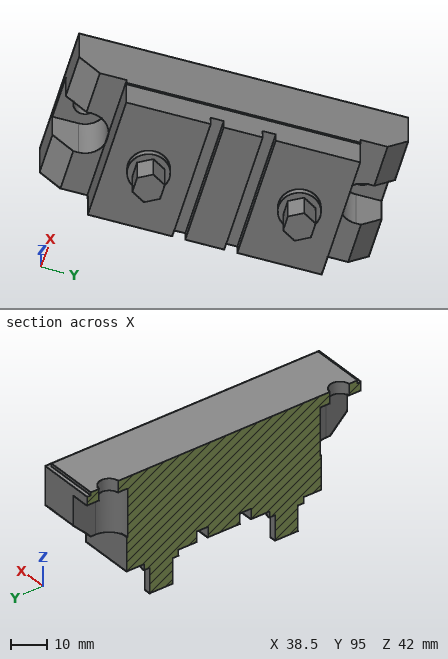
import cadquery as cq


housing_width = 38.5
housing_length = 95.0
housing_bottom = 10.0
housing_top = 30.5
lip_height = 1.5
end_chamfer = 6.0

cover_width = 36.0
cover_length = 92.5
cover_height = 1.0

base_width = 37.5
base_length = 67.5
groove_width = 3.75
groove_depth = 3.5
groove_spacing = 15.0

hole_diameter = 6.6
hole_spacing = 80.0
hole_offset_x = -0.25
pocket_width = 13.0
pocket_roof = 3.0

stud_spacing = 43.5
collar_diameter = 12.0
collar_height = 2.0
hex_across_corners = 9.24
hex_height = 8.5

overhang_bottom = housing_bottom + lip_height
cover_top = housing_top + cover_height


def block(width, length, bottom, top):
    """Box centred on X and Y between two heights."""
    return cq.Workplane("XY").workplane(offset=bottom).rect(width, length).extrude(top - bottom)


def make_housing():
    """Long housing with chamfered lower ends, a lip over the base and a cover plate."""
    upper = block(housing_width, housing_length, overhang_bottom, housing_top)
    upper = upper.faces("<Z").edges("|X").chamfer(end_chamfer)
    lip = block(housing_width, base_length, housing_bottom, overhang_bottom)
    cover = block(cover_width, cover_length, housing_top, cover_top)
    return upper.union(lip).union(cover)


def make_base():
    """Base block with two grooves running across its underside."""
    base = block(base_width, base_length, 0, housing_bottom)
    for side in (-1, 1):
        groove = block(base_width, groove_width, 0, groove_depth)
        base = base.cut(groove.translate((0, side * groove_spacing / 2, 0)))
    return base


def make_end_cutter(side):
    """Mounting hole and the round-ended pocket that opens through one end of the housing."""
    hole_y = side * hole_spacing / 2
    end_y = side * housing_length / 2
    pocket_top = housing_top - pocket_roof
    pocket_height = pocket_top - overhang_bottom
    pocket_plane = cq.Workplane("XY").workplane(offset=overhang_bottom)
    round_end = pocket_plane.center(hole_offset_x, hole_y).circle(pocket_width / 2).extrude(pocket_height)
    mouth = block(pocket_width, abs(end_y - hole_y), overhang_bottom, pocket_top)
    mouth = mouth.translate((hole_offset_x, (hole_y + end_y) / 2, 0))
    hole = pocket_plane.center(hole_offset_x, hole_y).circle(hole_diameter / 2)
    hole = hole.extrude(cover_top - overhang_bottom)
    return round_end.union(mouth).union(hole)


def make_stud(side):
    """Round collar and hexagonal stud hanging below the base, corners pointing along X."""
    stud_plane = cq.Workplane("XY").center(0, side * stud_spacing / 2)
    collar = stud_plane.circle(collar_diameter / 2).extrude(-collar_height)
    hexagon = stud_plane.polygon(6, hex_across_corners).extrude(-(collar_height + hex_height))
    return collar.union(hexagon)


result = make_housing().union(make_base())
for end in (-1, 1):
    result = result.cut(make_end_cutter(end))
    result = result.union(make_stud(end))